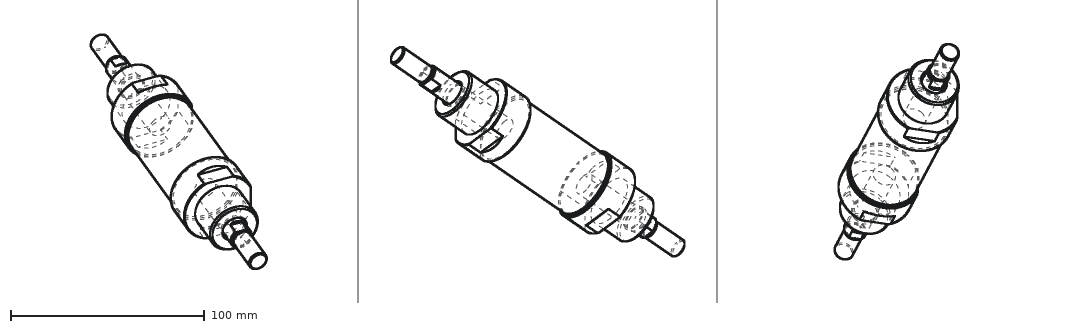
import cadquery as cq
import math


overall_length = 203.0
body_center = 4.9

barrel_diameter = 37.0
barrel_length = 57.0
collar_diameter = 39.5
collar_length = 18.0
inner_chamfer = 0.6
barrel_chamfer = inner_chamfer
outer_chamfer = 0.5
collar_side_flat = 18.0
wrench_size = 36.0
wrench_flat_length = 8.5
neck_diameter = 27.2
neck_length = 19.9
neck_chamfer = 1.0

rod_diameter = 12.0
recess_diameter = 14.0
recess_depth = 2.0
thread_diameter = 10.2
thread_length = 20.5
thread_chamfer = 0.6
undercut_diameter = 9.0
undercut_length = 1.0
rod_wrench_size = 10.0
rod_flat_length = 6.7
shoulder_chamfer = 0.5

runout_angle = 30.0

cut_margin = 2.0
barrel_half = barrel_length / 2
collar_outer_face = barrel_half + collar_length
neck_end = collar_outer_face + neck_length


def cylinder(start, length, diameter):
    """Cylinder on the X axis from X = start towards +X."""
    return cq.Workplane("YZ").workplane(offset=start).circle(diameter / 2).extrude(length)


def cut_wrench_flats(body, outer_end, length, size, diameter):
    """Cut flats facing +Z and -Z, a distance of size apart, into the +X end of a round body.

    The wall at the inner end of each flat leans towards -X.
    """
    flat_height = size / 2
    cut_height = diameter / 2 + cut_margin
    flat_start = outer_end - length
    lean = (cut_height - flat_height) * math.tan(math.radians(runout_angle))
    upper_cutter = (
        cq.Workplane("XZ")
        .moveTo(outer_end, flat_height)
        .lineTo(flat_start, flat_height)
        .lineTo(flat_start - lean, cut_height)
        .lineTo(outer_end, cut_height)
        .close()
        .extrude(diameter / 2, both=True)
    )
    return body.cut(upper_cutter).cut(upper_cutter.mirror("XY"))


def make_collar():
    """Wide part of the +X cover, with its +Y side flat and its wrench flats."""
    collar = cylinder(barrel_half, collar_length, collar_diameter)
    collar = collar.faces("<X").chamfer(inner_chamfer).faces(">X").chamfer(outer_chamfer)
    side_block = cq.Workplane("XY").box(collar_length, collar_diameter, collar_diameter)
    collar = collar.cut(
        side_block.translate(
            (barrel_half + collar_length / 2, collar_side_flat + collar_diameter / 2, 0)
        )
    )
    return cut_wrench_flats(
        collar, collar_outer_face, wrench_flat_length, wrench_size, collar_diameter
    )


def make_cover():
    """Cover on the +X end of a housing that is centred at the origin."""
    neck = cylinder(collar_outer_face, neck_length, neck_diameter)
    neck = neck.faces(">X").chamfer(neck_chamfer)
    bore = cylinder(barrel_half, collar_length + neck_length, rod_diameter)
    recess = cylinder(neck_end - recess_depth, recess_depth, recess_diameter)
    return make_collar().union(neck).cut(bore).cut(recess)


def make_rod(inner_end):
    """Rod on the +X side, from X = inner_end to its threaded tip."""
    thread_start = overall_length / 2 - thread_length
    shoulder = thread_start - undercut_length
    shank = cylinder(inner_end, shoulder - inner_end, rod_diameter)
    shank = shank.faces(">X").chamfer(shoulder_chamfer)
    shank = cut_wrench_flats(shank, shoulder, rod_flat_length, rod_wrench_size, rod_diameter)
    undercut = cylinder(shoulder, undercut_length, undercut_diameter)
    thread = cylinder(thread_start, thread_length, thread_diameter)
    thread = thread.faces(">X").chamfer(thread_chamfer)
    return shank.union(undercut).union(thread)


barrel = cylinder(body_center - barrel_half, barrel_length, barrel_diameter)
barrel = barrel.faces("<X or >X").chamfer(barrel_chamfer)

right_cover = make_cover()
left_cover = right_cover.mirror("YZ")
covers = [cover.translate((body_center, 0, 0)).val() for cover in (left_cover, right_cover)]

left_rod = make_rod(barrel_half - body_center).mirror("YZ")
right_rod = make_rod(barrel_half + body_center)
rods = [left_rod.val(), right_rod.val()]

result = cq.Compound.makeCompound([barrel.val(), *covers, *rods])